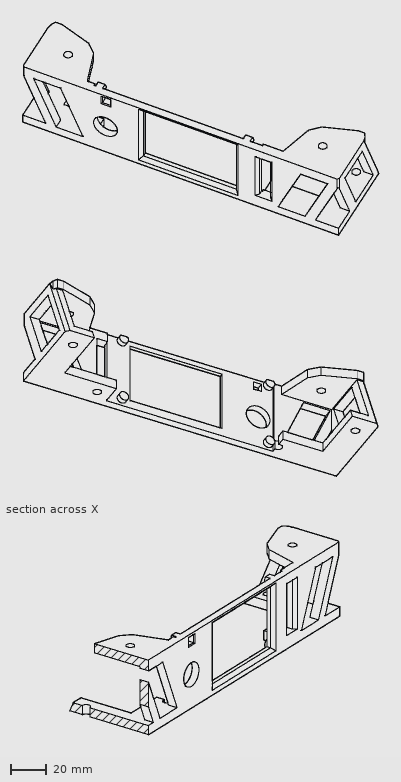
import cadquery as cq
import math

LENGTH = 199.3
DEPTH = 54.8
HEIGHT = 47.2

WALL = 6.0
PLATE = 6.0
LEAN = math.tan(math.radians(22.5))
OVER = 2.0

OPENING_TOP = 40.3
CORNER_GAP = 14.5
FRONT_STRUT = 6.5
FRONT_OPENING = 17.0
SIDE_STRUT = 8.0
SIDE_OPENING = 22.7

FRONT_CORNER_CHAMFER = 1.0
BACK_CHAMFER_X = 2.0
BACK_CHAMFER_Y = 2.2

FOOT_WIDTH = 17.5
FRONT_FOOT_LENGTH = 50.5
SCREW_HOLE = 5.0
FOOT_HOLE_INSET = 9.8
BACK_FOOT_HOLE_Y = 43.3
FRONT_FOOT_HOLE_X = 42.0
TOP_HOLE_INSET = 19.3
TOP_PLATE_OUTLINE = [
    (0, 0), (0, 32.5), (0.5, 36.0), (2.2, 38.7), (6.2, 38.7),
    (26.1, 32.3), (31.9, 26.7), (37.9, WALL), (37.9, 0),
]

RECESS_LEFT = 42.9
RECESS_RIGHT = LENGTH - FRONT_FOOT_LENGTH
RECESS_WALL = 4.8
WINDOW_LEFT = 75.1
WINDOW_RIGHT = 133.8
WINDOW_BOTTOM = 5.4
WINDOW_TOP = 43.9
WINDOW_BEVEL = 2.2
POST_DIAMETER = 5.8
POST_END_Y = 8.0
POST_XS = (46.0, 139.1)
POST_ZS = (4.5, 45.2)

KNOB_X = 52.2
KNOB_Z = 21.3
KNOB_DIAMETER = 15.0
INDICATOR_X = 52.6
INDICATOR_Z = 42.7
INDICATOR_SIZE = 5.0
INDICATOR_BEVEL = 0.5

SLOT_LEFT = 148.5
SLOT_RIGHT = 155.5
SLOT_BOTTOM = 8.5
SLOT_TOP = 41.3
SLOT_FLARE = 2.0


def box(x0, x1, y0, y1, z0, z1):
    """Box between two opposite corners."""
    return cq.Workplane("XY").box(x1 - x0, y1 - y0, z1 - z0, centered=False).translate((x0, y0, z0))


def prism_y(points, y0, y1):
    """Prism with an XZ outline, running from y0 to y1."""
    return cq.Workplane("XZ", origin=(0, y0, 0)).polyline(points).close().extrude(y0 - y1)


def prism_x(points, x0, x1):
    """Prism with a YZ outline, running from x0 to x1."""
    return cq.Workplane("YZ", origin=(x0, 0, 0)).polyline(points).close().extrude(x1 - x0)


def prism_z(points, z0, z1):
    """Prism with an XY outline, running from z0 to z1."""
    return cq.Workplane("XY", origin=(0, 0, z0)).polyline(points).close().extrude(z1 - z0)


def vertical_hole(x, y, z0):
    """Screw hole through the plate that starts at height z0."""
    return cq.Workplane("XY", origin=(x, y, z0)).circle(SCREW_HOLE / 2).extrude(PLATE)


def slanted_opening(start, width):
    """Parallelogram opening leaning toward the front corner."""
    run = LEAN * (OPENING_TOP - PLATE)
    return [
        (start, PLATE), (start + width, PLATE),
        (start + width - run, OPENING_TOP), (start - run, OPENING_TOP),
    ]


def corner_opening():
    """Triangular opening that starts at the front corner."""
    return [(0, PLATE), (CORNER_GAP, PLATE), (0, PLATE + CORNER_GAP / LEAN)]


def bevelled_opening(x0, x1, z0, z1, side_bevel, end_bevel):
    """Rectangular hole through the front wall that widens at the front.

    The x sides widen by side_bevel and the z ends by end_bevel, over a depth of side_bevel.
    """
    front_x0, front_x1 = x0 - side_bevel, x1 + side_bevel
    front_z0, front_z1 = z0 - end_bevel, z1 + end_bevel
    front = [(front_x0, front_z0), (front_x1, front_z0), (front_x1, front_z1), (front_x0, front_z1)]
    back = [(x0, z0), (x1, z0), (x1, z1), (x0, z1)]
    bevel = (
        cq.Workplane("XZ").polyline(front).close()
        .workplane(offset=-side_bevel).polyline(back).close().loft(ruled=True)
    )
    return bevel.union(box(x0, x1, 0, WALL, z0, z1))


def end_bracket():
    """Left half: side wall, front wall, L-shaped foot and top plate."""
    back_at_top = DEPTH - LEAN * HEIGHT
    slanted_profile = [(0, 0), (DEPTH, 0), (back_at_top, HEIGHT), (0, HEIGHT)]
    side_start = CORNER_GAP + SIDE_STRUT
    side_wall = prism_x(slanted_profile, 0, WALL)
    side_wall = side_wall.cut(prism_x(corner_opening(), 0, WALL))
    side_wall = side_wall.cut(prism_x(slanted_opening(side_start, SIDE_OPENING), 0, WALL))

    front_start = CORNER_GAP + FRONT_STRUT
    front_wall = box(0, LENGTH / 2, 0, WALL, 0, HEIGHT)
    front_wall = front_wall.cut(prism_y(corner_opening(), 0, WALL))
    front_wall = front_wall.cut(prism_y(slanted_opening(front_start, FRONT_OPENING), 0, WALL))
    bracket = side_wall.union(front_wall)

    back_foot = prism_x(slanted_profile, 0, FOOT_WIDTH).intersect(box(0, FOOT_WIDTH, 0, DEPTH, 0, PLATE))
    bracket = bracket.union(back_foot)
    bracket = bracket.union(box(0, FRONT_FOOT_LENGTH, 0, FOOT_WIDTH, 0, PLATE))

    corner = [(0, DEPTH - BACK_CHAMFER_Y), (BACK_CHAMFER_X, DEPTH), (0, DEPTH)]
    corner_outline = cq.Workplane("XY").polyline(corner).close().val()
    lean_path = cq.Vector(0, back_at_top - DEPTH, HEIGHT)
    bracket = bracket.cut(cq.Workplane(cq.Solid.extrudeLinear(corner_outline, [], lean_path)))

    bracket = bracket.union(prism_z(TOP_PLATE_OUTLINE, HEIGHT - PLATE, HEIGHT))

    front_corner = [(0, 0), (FRONT_CORNER_CHAMFER, 0), (0, FRONT_CORNER_CHAMFER)]
    bracket = bracket.cut(prism_z(front_corner, PLATE, HEIGHT))

    bracket = bracket.cut(vertical_hole(FOOT_HOLE_INSET, BACK_FOOT_HOLE_Y, 0))
    bracket = bracket.cut(vertical_hole(FRONT_FOOT_HOLE_X, FOOT_HOLE_INSET, 0))
    return bracket.cut(vertical_hole(TOP_HOLE_INSET, TOP_HOLE_INSET, HEIGHT - PLATE))


def display_window():
    """Window bevelled on all four front edges."""
    return bevelled_opening(WINDOW_LEFT, WINDOW_RIGHT, WINDOW_BOTTOM, WINDOW_TOP, WINDOW_BEVEL, WINDOW_BEVEL)


def display_posts():
    """Four round posts on the back of the recess, trimmed flush with the top and bottom."""
    centres = [(x, z) for x in POST_XS for z in POST_ZS]
    posts = (
        cq.Workplane("XZ", origin=(0, RECESS_WALL, 0)).pushPoints(centres)
        .circle(POST_DIAMETER / 2).extrude(RECESS_WALL - POST_END_Y)
    )
    return posts.intersect(box(0, LENGTH, 0, DEPTH, 0, HEIGHT))


def knob_hole():
    """Round hole through the front wall."""
    return cq.Workplane("XZ").center(KNOB_X, KNOB_Z).circle(KNOB_DIAMETER / 2).extrude(-WALL)


def indicator_hole():
    """Square hole with a bevelled front edge."""
    half = INDICATOR_SIZE / 2
    return bevelled_opening(
        INDICATOR_X - half, INDICATOR_X + half, INDICATOR_Z - half, INDICATOR_Z + half,
        INDICATOR_BEVEL, INDICATOR_BEVEL,
    )


def flared_slot():
    """Slot whose two long sides flare toward the front."""
    return bevelled_opening(SLOT_LEFT, SLOT_RIGHT, SLOT_BOTTOM, SLOT_TOP, SLOT_FLARE, 0)


left_end = end_bracket()
right_end = left_end.mirror("YZ").translate((LENGTH, 0, 0))
panel = left_end.union(right_end)

recess = box(RECESS_LEFT, RECESS_RIGHT, RECESS_WALL, DEPTH, -OVER, HEIGHT + OVER)
panel = panel.cut(recess).union(display_posts())

for opening in (display_window(), knob_hole(), indicator_hole(), flared_slot()):
    panel = panel.cut(opening)

result = panel.clean()